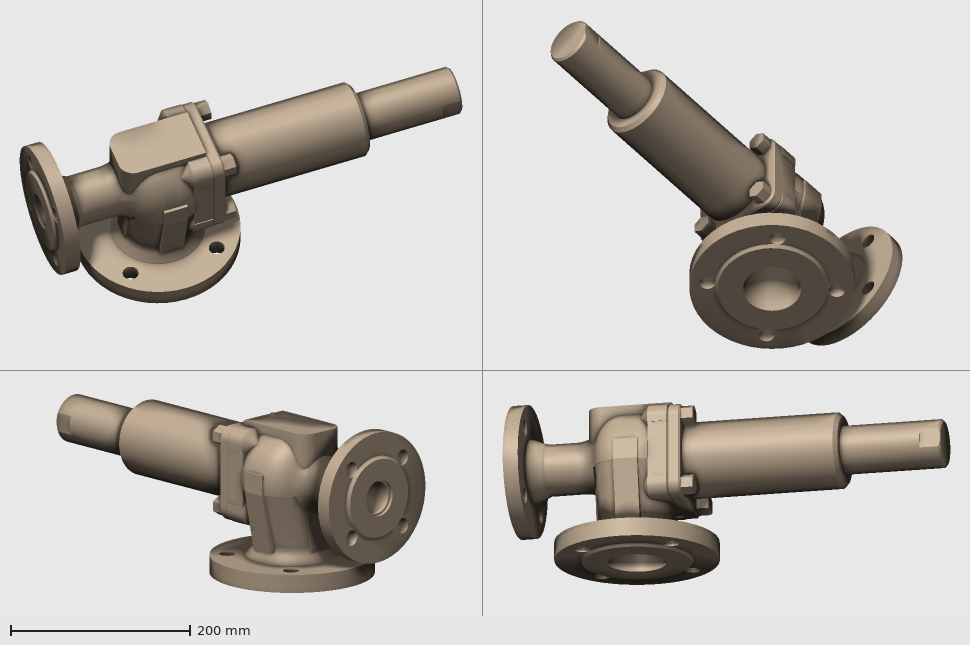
import cadquery as cq
import math


inlet_face_y = -140.0
inlet_flange_dia = 150.0
inlet_flange_thickness = 17.5
inlet_bolt_circle = 111.5
inlet_raised_dia = 90.0
inlet_bore_dia = 37.0
inlet_counterbore_dia = 41.5
inlet_counterbore_depth = 4.0
inlet_bore_end_y = 39.5

outlet_face_z = -115.0
outlet_flange_dia = 185.0
outlet_flange_thickness = 20.5
outlet_bolt_circle = 145.0
outlet_raised_dia = 122.0
outlet_bore_dia = 65.0
outlet_bore_top_z = 19.5

raised_height = 3.5
raised_flare = 3.0
flange_hole_dia = 18.0
holes_per_flange = 4

neck_dia = 58.0
neck_arc_start_y = -99.0
neck_cone_start_y = -101.5
neck_cone_start_radius = 30.0
neck_cone_end_y = -113.5
neck_cone_end_radius = 34.5
neck_foot_radius = 36.5

saddle_tip_y = -61.5
saddle_dia = 57.0
saddle_length = 24.5
saddle_angle = 14

bulge_radius = 58.0
bulge_half_straight = 10.0
bulge_arc_radius = 32.5
bulge_arc_angle = math.radians(60)
bulge_blend_y = -59.0
bulge_bottom_z = -10.5

column_top_width = 114.5
column_width = 85.0
column_top_corner = 34.5
column_front_y = -column_width / 2
column_bottom_z = -73.0
column_arc_start_z = -74.5
column_cone_start_z = -81.5
column_cone_start_radius = 45.0
column_cone_end_z = -88.0
column_cone_end_radius = 50.5
column_foot_radius = 53.5

pad_half_width = 14.0
pad_outer_x = 60.0
pad_top_z = 13.0
pad_bottom_x = 46.5
pad_bottom_z = -80.0

front_pad_y = -43.5
front_pad_top_z = -19.5
front_pad_top_half_width = 20.5
front_pad_bottom_half_width = 11.5

block_width = 60.5
block_top_z = 60.5
block_bottom_z = 5.0
block_front_y = -51.5
block_corner_radius = 17.0

joint_y = 46.5
joint_width = 109.5
joint_corner_radius = 15.5
housing_flange_back_y = 24.0
boss_inner_edge = 32.0
recess_depth = 1.0
boss_cone_length = 13.0
bolt_offset = 40.5

bonnet_plate_top_y = 61.0
bonnet_plate_width = 108.5
bonnet_plate_chamfer = 2.0
bonnet_dia = 86.0
bonnet_top_y = 238.5
bonnet_chamfer = 4.5

cap_dia = 55.0
cap_top_y = 353.5
cap_flats_width = 50.5
cap_flats_length = 23.5
cap_chamfer = 2.5

bolt_dia = 12.0
bolt_clearance_dia = 14.0
bolt_head_width = 19.5
bolt_head_height = 14.0
bolt_end_y = 24.5

bolt_places = [(x, z) for x in (-bolt_offset, bolt_offset) for z in (-bolt_offset, bolt_offset)]


def plane_at_y(y):
    """Workplane across the inlet axis at y, with its normal along +Y and local Y along -Z."""
    return cq.Workplane(cq.Plane(origin=(0, y, 0), xDir=(1, 0, 0), normal=(0, 1, 0)))


def cylinder_y(diameter, y_start, y_end, places=((0, 0),)):
    return plane_at_y(y_start).pushPoints(places).circle(diameter / 2).extrude(y_end - y_start)


def rounded_square(width, y_start, y_end):
    """Square plate with rounded corners, as used on both sides of the bonnet joint."""
    plate = plane_at_y(y_start).rect(width, width).extrude(y_end - y_start)
    return plate.edges("|Y").fillet(joint_corner_radius)


def pipe_flange(diameter, thickness, raised_dia, bolt_circle):
    """Flange with its face on the XY plane, its raised face down and its back up."""
    raised_radius = raised_dia / 2
    flange = (
        cq.Workplane("XZ")
        .polyline([
            (0, 0),
            (raised_radius, 0),
            (raised_radius + raised_flare, raised_height),
            (diameter / 2, raised_height),
            (diameter / 2, raised_height + thickness),
            (0, raised_height + thickness),
        ])
        .close()
        .revolve(360, (0, 0), (0, 1))
    )
    holes = (
        cq.Workplane("XY")
        .polarArray(bolt_circle / 2, 45, 360, holes_per_flange)
        .circle(flange_hole_dia / 2)
        .extrude(raised_height + thickness)
    )
    return flange.cut(holes)


def make_inlet_flange():
    flange = pipe_flange(inlet_flange_dia, inlet_flange_thickness, inlet_raised_dia, inlet_bolt_circle)
    return flange.rotate((0, 0, 0), (1, 0, 0), -90).translate((0, inlet_face_y, 0))


def make_outlet_flange():
    flange = pipe_flange(outlet_flange_dia, outlet_flange_thickness, outlet_raised_dia, outlet_bolt_circle)
    return flange.translate((0, 0, outlet_face_z))


def flared_pipe(plane, radius, start, arc_start, cone_start, cone_end, foot):
    """Solid pipe along the plane's local Y that widens to a flange.

    The cone and foot places are (radius, height) pairs; an arc leads from the pipe into the cone.
    """
    return (
        cq.Workplane(plane)
        .moveTo(0, start)
        .lineTo(radius, start)
        .lineTo(radius, arc_start)
        .tangentArcPoint(cone_start, relative=False)
        .lineTo(*cone_end)
        .lineTo(*foot)
        .lineTo(0, foot[1])
        .close()
        .revolve(360, (0, 0), (0, 1))
    )


def make_neck():
    flange_back_y = inlet_face_y + raised_height + inlet_flange_thickness
    neck = flared_pipe(
        "XY", neck_dia / 2, 0, neck_arc_start_y,
        (neck_cone_start_radius, neck_cone_start_y),
        (neck_cone_end_radius, neck_cone_end_y),
        (neck_foot_radius, flange_back_y),
    )
    saddle = cylinder_y(saddle_dia, saddle_tip_y, saddle_tip_y + saddle_length)
    saddle = saddle.rotate((0, saddle_tip_y, 0), (1, saddle_tip_y, 0), saddle_angle)
    return neck.union(saddle)


def make_bulge():
    """Chamber turned about the inlet axis, kept above the top of the column and in front of it."""
    arc_centre = bulge_radius - bulge_arc_radius

    def arc_point(angle):
        x = arc_centre + bulge_arc_radius * math.cos(angle)
        y = bulge_half_straight + bulge_arc_radius * math.sin(angle)
        return x, y

    back_angle = math.asin((housing_flange_back_y - bulge_half_straight) / bulge_arc_radius)
    back_mid, back_end = arc_point(back_angle / 2), arc_point(back_angle)
    front_mid_x, front_mid_y = arc_point(bulge_arc_angle / 2)
    front_end_x, front_end_y = arc_point(bulge_arc_angle)
    leave_direction = (-math.sin(bulge_arc_angle), -math.cos(bulge_arc_angle))
    bulge = (
        cq.Workplane("XY")
        .moveTo(0, back_end[1])
        .lineTo(*back_end)
        .threePointArc(back_mid, (bulge_radius, bulge_half_straight))
        .lineTo(bulge_radius, -bulge_half_straight)
        .threePointArc((front_mid_x, -front_mid_y), (front_end_x, -front_end_y))
        .spline([(neck_dia / 2, bulge_blend_y)], tangents=[leave_direction, (0, -1)], includeCurrent=True)
        .lineTo(0, bulge_blend_y)
        .close()
        .revolve(360, (0, 0), (0, 1))
    )
    size = 4 * bulge_radius
    below = cq.Workplane("XY").box(size, size, size, centered=(True, False, False))
    below = below.translate((0, column_front_y, bulge_bottom_z - size))
    return bulge.cut(below)


def make_column():
    def section(width, corner):
        return cq.Sketch().rect(width, column_width).vertices().fillet(corner)

    nearly_round = 0.49 * column_width
    column = (
        cq.Workplane("XY")
        .placeSketch(
            section(column_top_width, column_top_corner).moved(cq.Location(cq.Vector(0, 0, bulge_bottom_z))),
            section(column_width, nearly_round).moved(cq.Location(cq.Vector(0, 0, column_bottom_z))),
        )
        .loft()
    )
    flange_back_z = outlet_face_z + raised_height + outlet_flange_thickness
    flare = flared_pipe(
        "XZ", column_width / 2, column_bottom_z, column_arc_start_z,
        (column_cone_start_radius, column_cone_start_z),
        (column_cone_end_radius, column_cone_end_z),
        (column_foot_radius, flange_back_z),
    )
    return column.union(flare)


def make_pads():
    """Pad through the column, flat on both ends and tapered with the column."""
    half = [
        (pad_outer_x, pad_top_z),
        (pad_outer_x, bulge_bottom_z),
        (pad_bottom_x, pad_bottom_z),
    ]
    other_half = [(-x, z) for x, z in reversed(half)]
    return cq.Workplane("XZ").polyline(half + other_half).close().extrude(pad_half_width, both=True)


def make_front_pad():
    return (
        cq.Workplane("XZ")
        .polyline([
            (-front_pad_top_half_width, front_pad_top_z),
            (front_pad_top_half_width, front_pad_top_z),
            (front_pad_bottom_half_width, pad_bottom_z),
            (-front_pad_bottom_half_width, pad_bottom_z),
        ])
        .close()
        .extrude(-front_pad_y)
    )


def make_block():
    block = (
        cq.Workplane("XY")
        .workplane(offset=block_bottom_z)
        .center(0, (joint_y + block_front_y) / 2)
        .rect(block_width, joint_y - block_front_y)
        .extrude(block_top_z - block_bottom_z)
    )
    return block.edges("|Z and <Y").fillet(block_corner_radius)


def make_housing_flange():
    """Rounded square flange, recessed between four corner bosses that end in cones."""
    depth = joint_y - housing_flange_back_y
    flange = rounded_square(joint_width, housing_flange_back_y, joint_y)
    recess_centre = joint_width / 2 - recess_depth / 2
    for side in (-1, 1):
        side_recess = cq.Workplane("XY").box(recess_depth, depth, 2 * boss_inner_edge)
        side_recess = side_recess.translate((side * recess_centre, joint_y - depth / 2, 0))
        flange = flange.cut(side_recess)
        flange = flange.cut(side_recess.rotate((0, 0, 0), (0, 1, 0), 90))
    centre = joint_width / 2 - joint_corner_radius
    for x in (-centre, centre):
        for z in (-centre, centre):
            cone = cq.Solid.makeCone(
                joint_corner_radius, 0, boss_cone_length,
                pnt=cq.Vector(x, housing_flange_back_y, z), dir=cq.Vector(0, -1, 0),
            )
            flange = flange.union(cq.Workplane(cone))
    return flange


def make_housing():
    housing = make_bulge().union(make_column()).union(make_pads()).union(make_front_pad())
    housing = housing.union(make_neck()).union(make_block()).union(make_housing_flange())
    housing = housing.union(make_inlet_flange()).union(make_outlet_flange())

    inlet_bore = cylinder_y(inlet_bore_dia, inlet_face_y, inlet_bore_end_y)
    counterbore = cylinder_y(inlet_counterbore_dia, inlet_face_y, inlet_face_y + inlet_counterbore_depth)
    outlet_bore = (
        cq.Workplane("XY")
        .workplane(offset=outlet_face_z)
        .circle(outlet_bore_dia / 2)
        .extrude(outlet_bore_top_z - outlet_face_z)
    )
    bolt_holes = cylinder_y(bolt_dia, bolt_end_y, joint_y, bolt_places)
    return housing.cut(inlet_bore).cut(counterbore).cut(outlet_bore).cut(bolt_holes)


def make_bonnet():
    plate = rounded_square(bonnet_plate_width, joint_y, bonnet_plate_top_y)
    plate = plate.faces("<Y or >Y").chamfer(bonnet_plate_chamfer)
    plate = plate.cut(cylinder_y(bolt_clearance_dia, joint_y, bonnet_plate_top_y, bolt_places))
    barrel = cylinder_y(bonnet_dia, bonnet_plate_top_y, bonnet_top_y).faces(">Y").chamfer(bonnet_chamfer)
    return plate.union(barrel)


def make_cap():
    cap = cylinder_y(cap_dia, bonnet_top_y, cap_top_y).faces(">Y").chamfer(cap_chamfer)
    flats = plane_at_y(cap_top_y - cap_flats_length).rect(cap_flats_width, cap_dia).extrude(cap_flats_length)
    shaft = cylinder_y(cap_dia, bonnet_top_y, cap_top_y - cap_flats_length)
    return cap.intersect(shaft.union(flats))


def make_bolt(x, z):
    corner_dia = bolt_head_width / math.cos(math.pi / 6)
    head = plane_at_y(bonnet_plate_top_y).polygon(6, corner_dia).extrude(bolt_head_height)
    head = head.rotate((0, 0, 0), (0, 1, 0), 90)
    shank = cylinder_y(bolt_dia, bolt_end_y, bonnet_plate_top_y)
    return head.union(shank).translate((x, 0, z))


housing = make_housing()
bonnet = make_bonnet()
cap = make_cap()
bolts = [make_bolt(x, z) for x, z in bolt_places]

result = cq.Compound.makeCompound([
    housing.solids().val(),
    bonnet.solids().val(),
    cap.solids().val(),
    *[bolt.solids().val() for bolt in bolts],
])